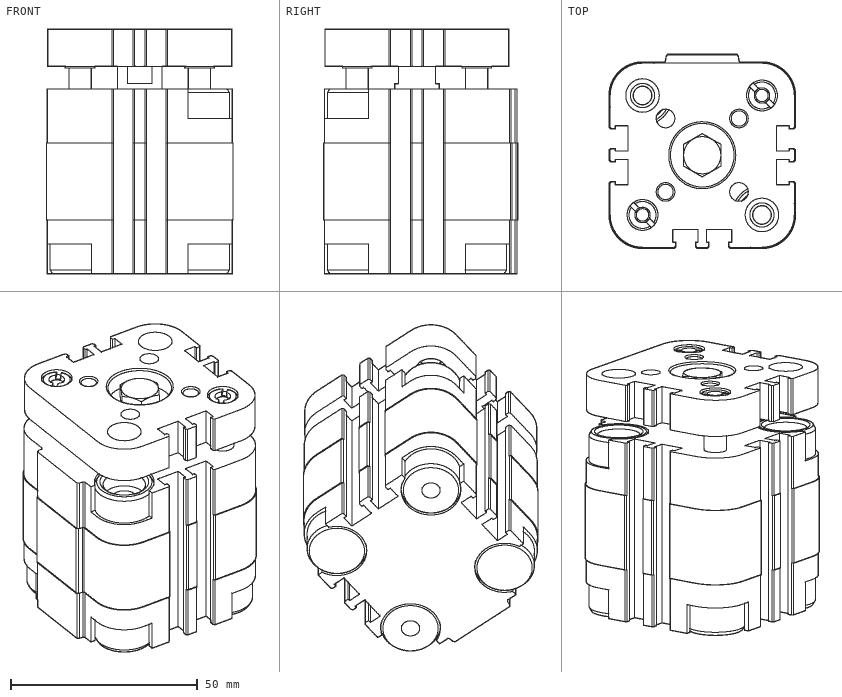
import cadquery as cq
import math

housing_height = 49.5
band_bottom = 14.4
band_top = 35.05
plate_bottom = 55.5
plate_top = 65.5

housing_half = 24.75
plate_half = 24.6
band_offset = 0.23
corner_centre = 16.0

slot_outer = 7.85
mouth_outer = 7.1
mouth_inner = 1.8
slot_inner = 1.2
slot_floor = 19.9
lip_inside = 23.25
mouth_chamfer = 0.4

tab_outline = [(10.1, 0), (9.8, 0.4), (9.7, 1.5), (9.3, 2.0)]

boss_radius = 8.0
boss_chamfer_width = 0.6
boss_chamfer_height = 1.05
boss_height = 8.0
pocket_reach = 13.0
boss_hole_diameter = 4.9
boss_countersink_diameter = 6.5
boss_bore_diameter = 11.3
boss_mouth_diameter = 13.05
boss_bore_depth = 5.0

guide_diameter = 6.0
piston_diameter = 12.0
rod_bottom = band_bottom
piston_flats = 9.95
flats_bottom = 50.9
guide_flange_diameter = 8.0
guide_flange_thickness = 0.45

head_diameter = 8.25
head_chamfer = 0.5
head_drop = 0.4
head_depth = 2.6
head_slot_width = 1.4
head_slot_depth = 1.2
head_slot_angle = -45
head_socket_diameter = 4.1
pin_tip_chamfer = 0.4

screw_hole_diameter = 9.0
small_hole_offset = 9.8
small_hole_diameter = 5.0
tapped_hole_diameter = 4.1
tapped_hole_chamfer = (small_hole_diameter - tapped_hole_diameter) / 2
centre_bore_diameter = 17.0
centre_bore_chamfer = 0.45
centre_bore_depth = 5.0

hex_flats = 10.0
hex_top = 64.85
hex_tip_diameter = 9.95
hex_chamfer_angle = 30
hex_half_sector = 30

screw_corners = [(-corner_centre, corner_centre), (corner_centre, -corner_centre)]
guide_corners = [(-corner_centre, -corner_centre), (corner_centre, corner_centre)]
tapped_points = [(-small_hole_offset, -small_hole_offset), (small_hole_offset, small_hole_offset)]
plain_points = [(-small_hole_offset, small_hole_offset), (small_hole_offset, -small_hole_offset)]


def cylinder(diameter, bottom, top, points=((0, 0),)):
    """Upright cylinders of one diameter between two heights."""
    return (
        cq.Workplane("XY", origin=(0, 0, bottom))
        .pushPoints(points).circle(diameter / 2).extrude(top - bottom)
    )


def turned(profile, point=(0, 0)):
    """Solid turned about a vertical axis from (radius, height) points."""
    return (
        cq.Workplane("XZ").polyline(profile).close()
        .revolve(360, (0, 0, 0), (0, 1, 0)).translate((*point, 0))
    )


def cone(bottom_diameter, bottom, top_diameter, top, point=(0, 0)):
    """Upright truncated cone."""
    return turned(
        [(0, bottom), (bottom_diameter / 2, bottom), (top_diameter / 2, top), (0, top)], point
    )


def slot_cutter(half, bottom, top):
    """Two mirrored T-slots with chamfered mouths, cut from the -Y side."""
    outline = [
        (mouth_outer + mouth_chamfer, -half),
        (mouth_outer, -half + mouth_chamfer),
        (mouth_outer, -lip_inside),
        (slot_outer, -lip_inside),
        (slot_outer, -slot_floor),
        (slot_inner, -slot_floor),
        (slot_inner, -lip_inside),
        (mouth_inner, -lip_inside),
        (mouth_inner, -half + mouth_chamfer),
        (mouth_inner - mouth_chamfer, -half),
    ]
    slot = cq.Workplane("XY", origin=(0, 0, bottom)).polyline(outline).close().extrude(top - bottom)
    return slot.union(slot.mirror("YZ"))


def slotted_block(half, bottom, top):
    """Rounded square block with T-slots on the -X, -Y and +X sides."""
    block = (
        cq.Workplane("XY", origin=(0, 0, bottom))
        .rect(2 * half, 2 * half).extrude(top - bottom)
        .edges("|Z").fillet(half - corner_centre)
    )
    slots = slot_cutter(half, bottom, top)
    for angle in (-90, 0, 90):
        block = block.cut(slots.rotate((0, 0, 0), (0, 0, 1), angle))
    return block


def rear_tab(offset, bottom, top):
    """Trapezoidal tab standing on the +Y side of the housing."""
    right = [(width, housing_half + offset + height) for width, height in tab_outline]
    left = [(-x, y) for x, y in reversed(right)]
    return cq.Workplane("XY", origin=(0, 0, bottom)).polyline(right + left).close().extrude(top - bottom)


def corner_cut(point, end, inward):
    """Pocket around a round boss at one corner; inward points along Z from the end face."""
    reach = 2 * (housing_half - pocket_reach)
    x_side = math.copysign(housing_half, point[0])
    y_side = math.copysign(housing_half, point[1])
    floor = end + inward * boss_height
    low, high = min(end, floor), max(end, floor)
    pocket = (
        cq.Workplane("XY", origin=(x_side, y_side, low)).rect(reach, reach).extrude(high - low)
        .cut(cylinder(2 * boss_radius, low, high, [point]))
    )
    groove = turned(
        [
            (boss_radius - boss_chamfer_width, end),
            (boss_radius, end),
            (boss_radius, end + inward * boss_chamfer_height),
        ],
        point,
    )
    return pocket.union(groove)


def boss_bore(point):
    """Countersunk through hole at the floor of a chamfered bore."""
    floor = housing_height - boss_bore_depth
    mouth_depth = (boss_mouth_diameter - boss_bore_diameter) / 2
    countersink_depth = (boss_countersink_diameter - boss_hole_diameter) / 2
    return (
        cylinder(boss_hole_diameter, 0, housing_height, [point])
        .union(cone(boss_hole_diameter, floor - countersink_depth, boss_countersink_diameter, floor, point))
        .union(cylinder(boss_bore_diameter, floor, housing_height, [point]))
        .union(cone(boss_bore_diameter, housing_height - mouth_depth,
                    boss_mouth_diameter, housing_height, point))
    )


def make_housing():
    body = slotted_block(housing_half, 0, housing_height)
    body = body.union(rear_tab(0, 0, housing_height))
    body = body.union(slotted_block(housing_half + band_offset, band_bottom, band_top))
    body = body.union(rear_tab(band_offset, band_bottom, band_top))
    for point in screw_corners:
        body = body.cut(corner_cut(point, housing_height, -1))
        body = body.cut(boss_bore(point))
    for point in screw_corners + guide_corners:
        body = body.cut(corner_cut(point, 0, 1))
    body = body.cut(cylinder(guide_diameter, rod_bottom, housing_height, guide_corners))
    return body.cut(cylinder(piston_diameter, rod_bottom, housing_height))


def make_plate():
    """Plate with all its holes, including the holes for the guide rod heads."""
    plate = slotted_block(plate_half, plate_bottom, plate_top)
    plate = plate.cut(cylinder(screw_hole_diameter, plate_bottom, plate_top, screw_corners))
    plate = plate.cut(cylinder(small_hole_diameter, plate_bottom, plate_top, plain_points))
    plate = plate.cut(cylinder(tapped_hole_diameter, plate_bottom, plate_top, tapped_points))
    for point in tapped_points:
        plate = plate.cut(cone(tapped_hole_diameter, plate_top - tapped_hole_chamfer,
                               small_hole_diameter, plate_top, point))
    plate = plate.cut(cylinder(centre_bore_diameter, plate_top - centre_bore_depth, plate_top))
    plate = plate.cut(cone(centre_bore_diameter, plate_top - centre_bore_chamfer,
                           centre_bore_diameter + 2 * centre_bore_chamfer, plate_top))
    return plate.cut(cylinder(head_diameter, plate_top - head_depth, plate_top, guide_corners))


def make_guide_rod(point):
    """Guide rod with a flange under the plate and a slotted head inside it."""
    head_top = plate_top - head_drop
    socket_floor = head_top - head_slot_depth
    shaft = cylinder(guide_diameter, rod_bottom, plate_bottom)
    flange = cylinder(guide_flange_diameter, plate_bottom - guide_flange_thickness, plate_bottom)
    head = (
        cylinder(head_diameter, plate_top - head_depth, head_top)
        .faces(">Z").edges().chamfer(head_chamfer)
        .cut(cylinder(head_socket_diameter, socket_floor, head_top))
    )
    slot = (
        cq.Workplane("XY", origin=(0, 0, socket_floor))
        .rect(head_diameter, head_slot_width).extrude(head_slot_depth)
        .rotate((0, 0, 0), (0, 0, 1), head_slot_angle)
    )
    pin_groove = turned(
        [
            (head_socket_diameter / 2 - pin_tip_chamfer, socket_floor),
            (head_socket_diameter / 2, socket_floor),
            (head_socket_diameter / 2, socket_floor - pin_tip_chamfer),
        ]
    )
    return shaft.union(flange).union(head.cut(slot).cut(pin_groove)).translate((*point, 0))


def make_piston_rod():
    """Piston rod with two wrench flats facing -Y and +Y."""
    flats_height = plate_bottom - flats_bottom
    shaft = cylinder(piston_diameter, rod_bottom, flats_bottom)
    flats = (
        cq.Workplane("XY", origin=(0, 0, flats_bottom))
        .rect(piston_diameter, piston_flats).extrude(flats_height)
        .intersect(cylinder(piston_diameter, flats_bottom, plate_bottom))
    )
    return shaft.union(flats)


def make_hex_head():
    """Hexagon screw head with corners on the Y axis and a chamfered tip."""
    bottom = plate_top - centre_bore_depth
    across_corners = hex_flats / math.cos(math.radians(hex_half_sector))
    chamfer_drop = (across_corners - hex_tip_diameter) / 2 * math.tan(math.radians(hex_chamfer_angle))
    envelope = cylinder(across_corners, bottom, hex_top - chamfer_drop).union(
        cone(across_corners, hex_top - chamfer_drop, hex_tip_diameter, hex_top)
    )
    return (
        cq.Workplane("XY", origin=(0, 0, bottom))
        .polygon(6, across_corners).extrude(hex_top - bottom)
        .rotate((0, 0, 0), (0, 0, 1), hex_half_sector)
        .intersect(envelope)
    )


def make_moving_unit():
    unit = make_plate()
    for point in guide_corners:
        unit = unit.union(make_guide_rod(point))
    return unit.union(make_piston_rod()).union(make_hex_head())


housing = make_housing()
moving_unit = make_moving_unit()
result = cq.Compound.makeCompound([housing.solids().val(), moving_unit.solids().val()])